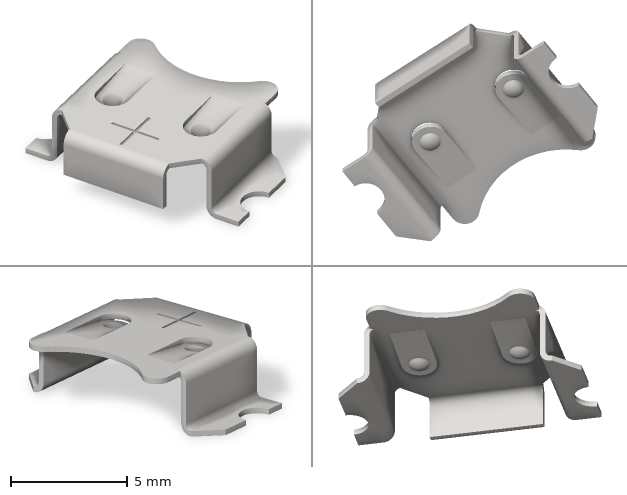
import cadquery as cq
import math


sheet = 0.255
outer_bend = 0.5
inner_bend = outer_bend - sheet

overall_width = 10.71
overall_depth = 8.0
overall_height = 2.9
back_y = overall_depth / 2
front_y = -overall_depth / 2

clip_wall_x = 4.005
clip_length = 5.0
clip_front_y = -2.47
clip_back_y = clip_front_y + clip_length
foot_end_x = overall_width / 2
foot_chamfer = 1.06
notch_radius = 0.81
notch_y = -0.75

flange_width = 5.0
flange_drop = 2.1

plate_side_x = clip_wall_x - outer_bend
plate_front_y = front_y + outer_bend
ear_side_x = 3.71
ear_radius = 0.63
scoop_bottom_y = 2.76

plus_y = -2.175
plus_length = 2.38
plus_line_width = 0.145
plus_depth = 0.08

tongue_x = 2.215
tongue_radius = 0.775
tongue_hinge_y = 1.98
tongue_length = 2.38
tongue_tilt = 5.8

dimple_radius = 0.45
dimple_depth = 0.19


def bend_point(radius):
    """Distance of a quarter bend's midpoint from its centre, along each axis."""
    return radius * math.sqrt(0.5)


def tongue_outline(plane):
    """Tongue outline on a plane whose origin is the middle of the hinge line."""
    return (
        plane.moveTo(-tongue_radius, 0)
        .lineTo(-tongue_radius, -tongue_length)
        .threePointArc((0, -tongue_length - tongue_radius), (tongue_radius, -tongue_length))
        .lineTo(tongue_radius, 0)
        .close()
    )


def build_plate():
    ear_x = ear_side_x - ear_radius
    ear_y = back_y - ear_radius
    ear_rise = ear_y - scoop_bottom_y
    scoop_radius = (ear_x**2 + ear_rise**2 - ear_radius**2) / (2 * (ear_radius + ear_rise))
    scoop_y = scoop_bottom_y + scoop_radius
    to_scoop = math.atan2(scoop_y - ear_y, ear_x)
    tangent_x = ear_x - ear_radius * math.cos(to_scoop)
    tangent_y = ear_y + ear_radius * math.sin(to_scoop)

    plate = (
        cq.Workplane("XY", origin=(0, 0, overall_height - sheet))
        .moveTo(flange_width / 2, plate_front_y)
        .lineTo(plate_side_x, clip_front_y)
        .lineTo(plate_side_x, clip_back_y)
        .lineTo(ear_side_x, clip_back_y)
        .lineTo(ear_side_x, ear_y)
        .threePointArc((ear_x, back_y), (tangent_x, tangent_y))
        .threePointArc((0, scoop_bottom_y), (-tangent_x, tangent_y))
        .threePointArc((-ear_x, back_y), (-ear_side_x, ear_y))
        .lineTo(-ear_side_x, clip_back_y)
        .lineTo(-plate_side_x, clip_back_y)
        .lineTo(-plate_side_x, clip_front_y)
        .lineTo(-flange_width / 2, plate_front_y)
        .close()
        .extrude(sheet)
    )
    for side in (-1, 1):
        window = tongue_outline(
            cq.Workplane("XY", origin=(side * tongue_x, tongue_hinge_y, overall_height))
        ).extrude(-sheet)
        plate = plate.cut(window)
    plus_plane = cq.Workplane("XY", origin=(0, plus_y, overall_height))
    for size_x, size_y in ((plus_length, plus_line_width), (plus_line_width, plus_length)):
        plate = plate.cut(plus_plane.rect(size_x, size_y).extrude(-plus_depth))
    return plate


def build_clip(side):
    top_z = overall_height
    bend_z = top_z - outer_bend
    low_bend_x = clip_wall_x + inner_bend
    wall_inner_x = clip_wall_x - sheet
    outer_mid = bend_point(outer_bend)
    inner_mid = bend_point(inner_bend)
    clip = (
        cq.Workplane("XZ", origin=(0, clip_back_y, 0))
        .moveTo(plate_side_x, top_z)
        .threePointArc((plate_side_x + outer_mid, bend_z + outer_mid), (clip_wall_x, bend_z))
        .lineTo(clip_wall_x, outer_bend)
        .threePointArc((low_bend_x - inner_mid, outer_bend - inner_mid), (low_bend_x, sheet))
        .lineTo(foot_end_x, sheet)
        .lineTo(foot_end_x, 0)
        .lineTo(low_bend_x, 0)
        .threePointArc((low_bend_x - outer_mid, outer_bend - outer_mid), (wall_inner_x, outer_bend))
        .lineTo(wall_inner_x, bend_z)
        .threePointArc((plate_side_x + inner_mid, bend_z + inner_mid), (plate_side_x, top_z - sheet))
        .close()
        .extrude(clip_length)
    )
    corner = (
        cq.Workplane("XY")
        .moveTo(foot_end_x, clip_back_y)
        .lineTo(foot_end_x - foot_chamfer, clip_back_y)
        .lineTo(foot_end_x, clip_back_y - foot_chamfer)
        .close()
        .extrude(sheet)
    )
    notch = cq.Workplane("XY", origin=(foot_end_x, notch_y, 0)).circle(notch_radius).extrude(sheet)
    clip = clip.cut(corner).cut(notch)
    return clip if side > 0 else clip.mirror("YZ")


def build_flange():
    top_z = overall_height
    bend_z = top_z - outer_bend
    bottom_z = top_z - flange_drop
    outer_mid = bend_point(outer_bend)
    inner_mid = bend_point(inner_bend)
    return (
        cq.Workplane("YZ", origin=(-flange_width / 2, 0, 0))
        .moveTo(plate_front_y, top_z)
        .threePointArc((plate_front_y - outer_mid, bend_z + outer_mid), (front_y, bend_z))
        .lineTo(front_y, bottom_z)
        .lineTo(front_y + sheet, bottom_z)
        .lineTo(front_y + sheet, bend_z)
        .threePointArc((plate_front_y - inner_mid, bend_z + inner_mid), (plate_front_y, top_z - sheet))
        .close()
        .extrude(flange_width)
    )


def tilt_into_place(body, side):
    """Turn a flat tongue part down about its hinge line and move it to its window."""
    tilted = body.rotate((0, 0, 0), (1, 0, 0), tongue_tilt)
    return tilted.translate((side * tongue_x, tongue_hinge_y, overall_height))


def build_bowl_ball():
    """Ball whose lowest cap forms a dimple bowl in a flat tongue with its upper face at Z = 0."""
    ball_radius = (dimple_radius**2 + dimple_depth**2) / (2 * dimple_depth)
    return cq.Workplane("XY", origin=(0, -tongue_length, ball_radius - dimple_depth)).sphere(ball_radius)


def build_tongue(side):
    flat = tongue_outline(cq.Workplane("XY")).extrude(-sheet).cut(build_bowl_ball())
    tongue = tilt_into_place(flat, side)
    behind_hinge = cq.Workplane("XY", origin=(side * tongue_x, tongue_hinge_y, overall_height)).box(
        2 * tongue_radius, sheet, 4 * sheet, centered=(True, False, True)
    )
    return tongue.cut(behind_hinge)


def build_contact(side):
    tongue_underside = cq.Workplane("XY", origin=(0, -tongue_length, -sheet))
    below_tongue = tongue_underside.circle(dimple_radius).extrude(-dimple_depth)
    cap = build_bowl_ball().translate((0, 0, -sheet)).intersect(below_tongue)
    return tilt_into_place(cap, side)


plate = build_plate()
flange = build_flange()
bodies = [*plate.solids().vals(), *flange.solids().vals()]
for side in (-1, 1):
    clip = build_clip(side)
    tongue = build_tongue(side)
    contact = build_contact(side)
    bodies += [*clip.solids().vals(), *tongue.solids().vals(), *contact.solids().vals()]

result = cq.Compound.makeCompound(bodies)